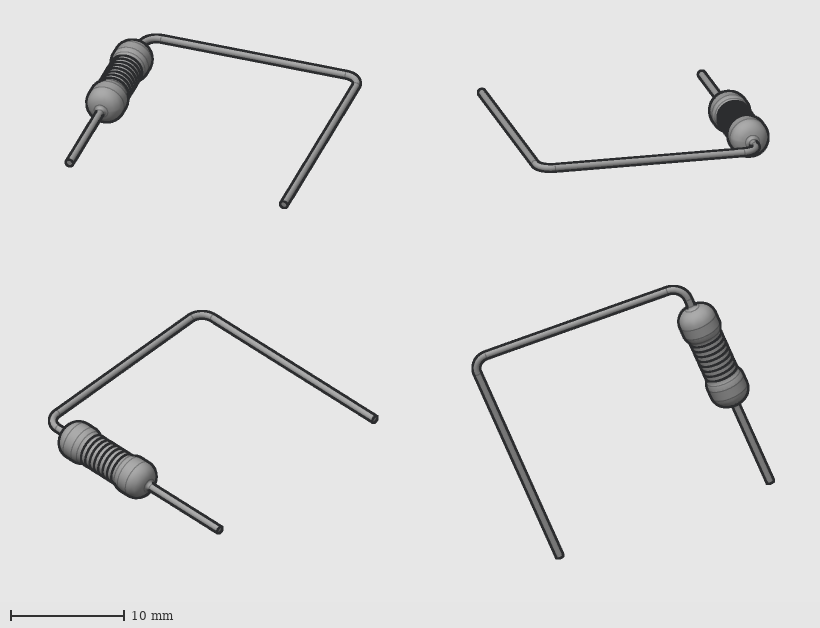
import cadquery as cq
import math


overall_width = 22.1
overall_depth = 21.35
lead_radius = 0.7 / 2
bend_radius = 1.4

body_center_y = 13.57
cap_radius = 3.5 / 2
barrel_radius = 2.98 / 2
band_radius = 3.0 / 2
barrel_half_length = 1.83
shoulder_start = 2.28
cap_start = 2.8
cap_end = 3.75
dome_radius = 1.25
neck_end = 5.33

band_count = 4
band_width = 2 * barrel_half_length / (2 * band_count - 1)
band_pitch = 2 * band_width

lead_spacing = overall_width - cap_radius - lead_radius
crossbar_y = overall_depth - lead_radius

dome_center_r = cap_radius - dome_radius

neck_rise = neck_end - cap_end
radial_gap = dome_center_r - lead_radius
neck_radius = (neck_rise**2 + radial_gap**2 - dome_radius**2) / (2 * (dome_radius + radial_gap))
neck_center_r = lead_radius + neck_radius
neck_angle = math.atan2(neck_rise, neck_center_r - dome_center_r)

root_length = shoulder_start - barrel_half_length
shoulder_length = cap_start - shoulder_start
shoulder_angle = 2 * math.atan((cap_radius - barrel_radius) / (root_length + shoulder_length))
root_radius = root_length / math.sin(shoulder_angle)
shoulder_radius = shoulder_length / math.sin(shoulder_angle)
root_center_r = barrel_radius + root_radius
shoulder_center_r = cap_radius - shoulder_radius
shoulder_foot_r = shoulder_center_r + shoulder_radius * math.cos(shoulder_angle)


def arc_point(center_r, center_y, radius, angle):
    """Point on an arc in the (radius, axial) half plane."""
    return center_r + radius * math.cos(angle), center_y + radius * math.sin(angle)


def make_cap():
    """The +Y end of the body, from the end of the barrel to the end of the neck."""
    root_mid = arc_point(root_center_r, barrel_half_length, root_radius, math.pi - shoulder_angle / 2)
    shoulder_mid = arc_point(shoulder_center_r, cap_start, shoulder_radius, -shoulder_angle / 2)
    dome_mid = arc_point(dome_center_r, cap_end, dome_radius, neck_angle / 2)
    dome_tip = arc_point(dome_center_r, cap_end, dome_radius, neck_angle)
    neck_mid = arc_point(neck_center_r, neck_end, neck_radius, math.pi + neck_angle / 2)
    return (
        cq.Workplane("XY")
        .moveTo(0, barrel_half_length)
        .lineTo(barrel_radius, barrel_half_length)
        .threePointArc(root_mid, (shoulder_foot_r, shoulder_start))
        .threePointArc(shoulder_mid, (cap_radius, cap_start))
        .lineTo(cap_radius, cap_end)
        .threePointArc(dome_mid, dome_tip)
        .threePointArc(neck_mid, (lead_radius, neck_end))
        .lineTo(0, neck_end)
        .close()
        .revolve(360, (0, 0, 0), (0, 1, 0))
    )


def make_cylinder(radius, length, center_y):
    """Cylinder along Y, centred on the given place."""
    return cq.Workplane("XZ", origin=(0, center_y + length / 2, 0)).circle(radius).extrude(length)


def make_body():
    cap = make_cap()
    body = make_cylinder(barrel_radius, 2 * barrel_half_length, 0)
    body = body.union(cap).union(cap.mirror("XZ"))
    for index in range(band_count):
        band_center = (index - (band_count - 1) / 2) * band_pitch
        body = body.union(make_cylinder(band_radius, band_width, band_center))
    return body.translate((0, body_center_y, 0))


def make_wire():
    """One wire through the body, across the top and back down to Y = 0."""
    bend_y = crossbar_y - bend_radius
    bend_offset = bend_radius * (1 - math.sqrt(0.5))
    path = (
        cq.Workplane("XY")
        .lineTo(0, bend_y)
        .threePointArc((bend_offset, crossbar_y - bend_offset), (bend_radius, crossbar_y))
        .lineTo(lead_spacing - bend_radius, crossbar_y)
        .threePointArc(
            (lead_spacing - bend_offset, crossbar_y - bend_offset),
            (lead_spacing, bend_y),
        )
        .lineTo(lead_spacing, 0)
    )
    return cq.Workplane("XZ").circle(lead_radius).sweep(path)


result = make_wire().union(make_body())